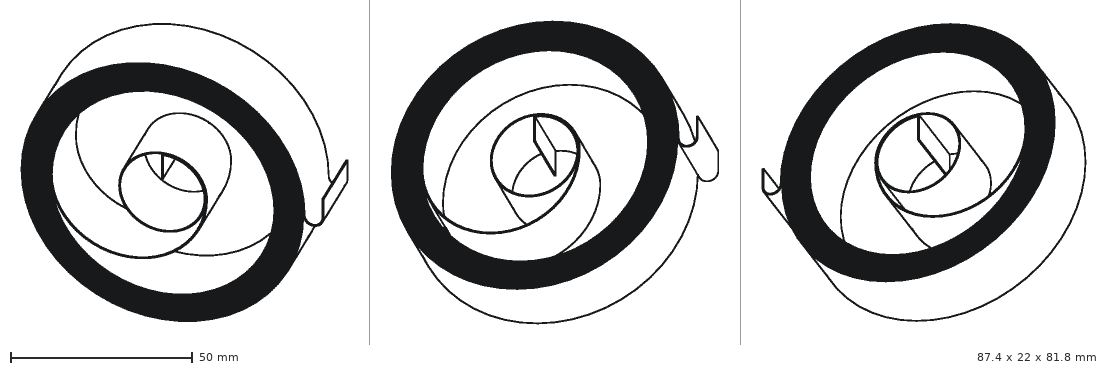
import cadquery as cq
import math


strip_thickness = 0.39
turn_clearance = 0.01
strip_width = 22.0
half_thickness = strip_thickness / 2
pitch = strip_thickness + turn_clearance

coil_outer_radius = 41.0
coil_turns = 22
coil_last_radius = coil_outer_radius - half_thickness
coil_first_radius = coil_last_radius - (coil_turns - 1) * pitch

hub_outer_radius = 12.8
hub_radius = hub_outer_radius - half_thickness
hub_start_radius = hub_radius - pitch
arm_tip_height = 4.5

hook_radius = 2.7
tail_height = 6.1
tail_x = coil_last_radius + 2 * hook_radius


def half_turns():
    """Half circles of the strip's centre line as (start x, end x, side).

    Both ends lie on the X axis. Side is +1 for the half above it and -1 for the half below.
    """
    turns = [
        (hub_start_radius, -hub_radius, -1),
        (-hub_radius, hub_radius, 1),
        (hub_radius, -coil_first_radius, -1),
    ]
    for turn in range(coil_turns):
        radius = coil_first_radius + turn * pitch
        turns.append((-radius, radius, 1))
        if turn < coil_turns - 1:
            turns.append((radius, -radius - pitch, -1))
    return turns


def half_circle(outline, start_x, end_x, side):
    """Add a half circle between two points of the X axis to the outline."""
    mid_x = (start_x + end_x) / 2
    radius = abs(end_x - start_x) / 2
    return outline.threePointArc((mid_x, side * radius), (end_x, 0))


def hub_quarter_point(radius):
    """Point halfway along the first quarter turn of the hub."""
    diagonal = radius * math.sqrt(0.5)
    return (diagonal, diagonal)


def away_from_centre(x, offset):
    """Shift a point of the X axis outwards by an offset."""
    return x + offset if x > 0 else x - offset


def spring_outline():
    """Closed strip outline, out along one face from the arm to the tail and back along the other."""
    turns = half_turns()
    start_outer = hub_start_radius + half_thickness
    start_inner = hub_start_radius - half_thickness
    coil_end_outer = coil_last_radius + half_thickness
    coil_end_inner = coil_last_radius - half_thickness
    tail_left = tail_x - half_thickness
    tail_right = tail_x + half_thickness

    outline = cq.Workplane("XZ").moveTo(-strip_thickness, arm_tip_height)
    outline = outline.lineTo(-strip_thickness, start_outer).lineTo(0, start_outer)
    outline = outline.threePointArc(hub_quarter_point(start_outer), (start_outer, 0))
    for start_x, end_x, side in turns:
        outer_start = away_from_centre(start_x, half_thickness)
        outer_end = away_from_centre(end_x, half_thickness)
        outline = half_circle(outline, outer_start, outer_end, side)

    outline = half_circle(outline, coil_end_outer, tail_left, -1)
    outline = outline.lineTo(tail_left, tail_height).lineTo(tail_right, tail_height).lineTo(tail_right, 0)
    outline = half_circle(outline, tail_right, coil_end_inner, -1)

    for start_x, end_x, side in reversed(turns):
        inner_start = away_from_centre(end_x, -half_thickness)
        inner_end = away_from_centre(start_x, -half_thickness)
        outline = half_circle(outline, inner_start, inner_end, side)
    outline = outline.threePointArc(hub_quarter_point(start_inner), (0, start_inner))
    return outline.lineTo(0, arm_tip_height).close()


result = spring_outline().extrude(strip_width / 2, both=True)